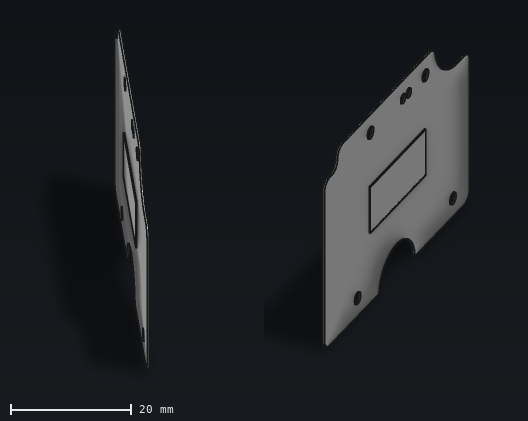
import cadquery as cq
import math

overall_span = 37.4
plate_thickness = 0.4
plate_width = overall_span * math.sqrt(2) - plate_thickness
plate_height = 37.0
half_width = plate_width / 2
corner_radius = 2.0

left_shelf = 33.05
left_notch_radius = 2.0
left_notch_center = -23.5
right_shelf = 29.2
right_notch_radius = 8.0
right_notch_center = 21.6

arch_radius = 6.5
arch_center_height = -0.35

large_hole_diameter = 2.2
small_hole_diameter = 1.75
upper_hole_height = 33.35
lower_hole_height = 3.55
large_holes = [
    (-9.55, upper_hole_height),
    (10.3, upper_hole_height),
    (-14.2, lower_hole_height),
    (20.25, lower_hole_height),
]
small_holes = [(2.2, upper_hole_height), (4.23, upper_hole_height)]

pad_width = 20.0
pad_height = 9.0
pad_thickness = 0.2


def arc_middle(center, radius, start, end):
    """Point halfway along the short arc between two points of a circle."""
    du = (start[0] + end[0]) / 2 - center[0]
    dv = (start[1] + end[1]) / 2 - center[1]
    scale = radius / math.hypot(du, dv)
    return (center[0] + du * scale, center[1] + dv * scale)


def notch_arcs(side, shelf, radius, center_u):
    """Two tangent arcs, each (start, middle, end), from the shelf up to the top edge."""
    inner = (center_u, shelf + radius)
    outer_v = plate_height - corner_radius
    center_distance = radius + corner_radius
    outer_u = center_u - side * math.sqrt(center_distance**2 - (outer_v - inner[1]) ** 2)
    outer = (outer_u, outer_v)
    share = radius / center_distance
    joint = (inner[0] + (outer[0] - inner[0]) * share, inner[1] + (outer[1] - inner[1]) * share)
    foot = (center_u, shelf)
    head = (outer_u, plate_height)
    lower_arc = (foot, arc_middle(inner, radius, foot, joint), joint)
    upper_arc = (joint, arc_middle(outer, corner_radius, joint, head), head)
    return lower_arc, upper_arc


def make_plate(plane):
    left_lower, left_upper = notch_arcs(-1, left_shelf, left_notch_radius, left_notch_center)
    right_lower, right_upper = notch_arcs(1, right_shelf, right_notch_radius, right_notch_center)
    plate = (
        cq.Workplane(plane)
        .moveTo(-half_width, 0)
        .lineTo(half_width, 0)
        .lineTo(half_width, right_shelf)
        .lineTo(*right_lower[0])
        .threePointArc(*right_lower[1:])
        .threePointArc(*right_upper[1:])
        .lineTo(*left_upper[2])
        .threePointArc(left_upper[1], left_upper[0])
        .threePointArc(left_lower[1], left_lower[0])
        .lineTo(-half_width, left_shelf)
        .close()
        .extrude(plate_thickness / 2, both=True)
    )
    corners = [(-half_width, 0), (half_width, 0), (half_width, right_shelf), (-half_width, left_shelf)]
    for u, v in corners:
        corner_point = plane.toWorldCoords((u, v, 0))
        plate = plate.edges(cq.selectors.NearestToPointSelector(corner_point)).fillet(corner_radius)
    return plate


def round_cutter(plane, points, diameter):
    return cq.Workplane(plane).pushPoints(points).circle(diameter / 2).extrude(plate_thickness, both=True)


def make_pad(plane):
    return (
        cq.Workplane(plane)
        .center(0, plate_height / 2)
        .rect(pad_width, pad_height)
        .extrude(plate_thickness / 2 + pad_thickness)
    )


mid_plane = cq.Plane(origin=(0, 0, 0), xDir=(1, -1, 0), normal=(-1, -1, 0))

result = (
    make_plate(mid_plane)
    .cut(round_cutter(mid_plane, [(0, arch_center_height)], 2 * arch_radius))
    .cut(round_cutter(mid_plane, large_holes, large_hole_diameter))
    .cut(round_cutter(mid_plane, small_holes, small_hole_diameter))
    .union(make_pad(mid_plane))
)